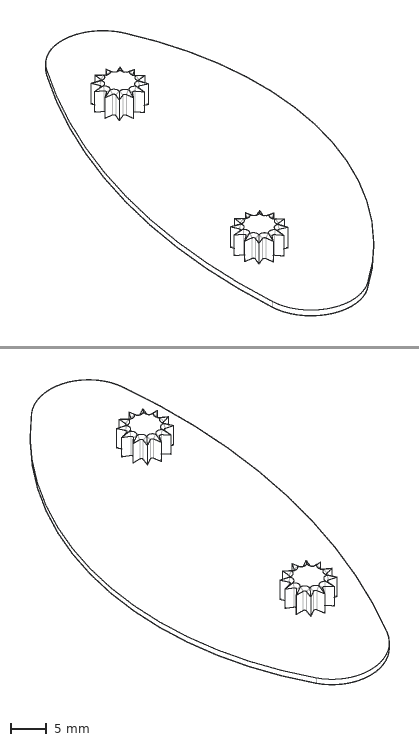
import cadquery as cq
import math

PLATE_THICKNESS = 1.0
BACK_RADIUS = 55.0
FRONT_RADIUS = 100.0
END_RADIUS = 8.0
PLATE_LENGTH = 75.63
FRONT_EDGE_Y = -10.17

PIN_SPACING = 40.0
PIN_HEIGHT = 4.0
TOOTH_COUNT = 12
TIP_RADIUS = 4.0
VALLEY_RADIUS = 2.5
VALLEY_FILLET = 0.3
TOP_CHAMFER = 0.5


def polar(radius, angle_deg):
    angle = math.radians(angle_deg)
    return (radius * math.cos(angle), radius * math.sin(angle))


def tangent_point(big_center_y, big_radius, end_center):
    """Point where an end arc at `end_center` meets a large arc centred on the Y axis."""
    x, y = end_center
    ratio = big_radius / (big_radius - END_RADIUS)
    return (x * ratio, big_center_y + (y - big_center_y) * ratio)


def mirrored(point):
    return (-point[0], point[1])


def make_plate():
    end_x = PLATE_LENGTH / 2 - END_RADIUS
    front_center_y = FRONT_EDGE_Y + FRONT_RADIUS
    end_y = front_center_y - math.sqrt((FRONT_RADIUS - END_RADIUS) ** 2 - end_x**2)
    back_center_y = end_y - math.sqrt((BACK_RADIUS - END_RADIUS) ** 2 - end_x**2)

    front_joint = tangent_point(front_center_y, FRONT_RADIUS, (end_x, end_y))
    back_joint = tangent_point(back_center_y, BACK_RADIUS, (end_x, end_y))
    end_extreme = (end_x + END_RADIUS, end_y)
    return (
        cq.Workplane("XY")
        .moveTo(*mirrored(front_joint))
        .threePointArc((0, FRONT_EDGE_Y), front_joint)
        .threePointArc(end_extreme, back_joint)
        .threePointArc((0, back_center_y + BACK_RADIUS), mirrored(back_joint))
        .threePointArc(mirrored(end_extreme), mirrored(front_joint))
        .close()
        .extrude(PLATE_THICKNESS)
    )


def make_pin():
    half_pitch = 180 / TOOTH_COUNT
    star = []
    for tooth in range(TOOTH_COUNT):
        tip_angle = 2 * tooth * half_pitch
        star.append(polar(TIP_RADIUS, tip_angle))
        star.append(polar(VALLEY_RADIUS, tip_angle + half_pitch))
    base = cq.Workplane("XY").workplane(offset=PLATE_THICKNESS)
    pin = base.polyline(star).close().extrude(PIN_HEIGHT)
    mean_radius = (TIP_RADIUS + VALLEY_RADIUS) / 2

    def is_in_valley(edge):
        center = edge.Center()
        return math.hypot(center.x, center.y) < mean_radius

    pin = pin.edges("|Z").filter(is_in_valley).fillet(VALLEY_FILLET)
    return pin.faces(">Z").chamfer(TOP_CHAMFER)


result = make_plate()
pin = make_pin()
for x in (-PIN_SPACING / 2, PIN_SPACING / 2):
    result = result.union(pin.translate((x, 0, 0)))